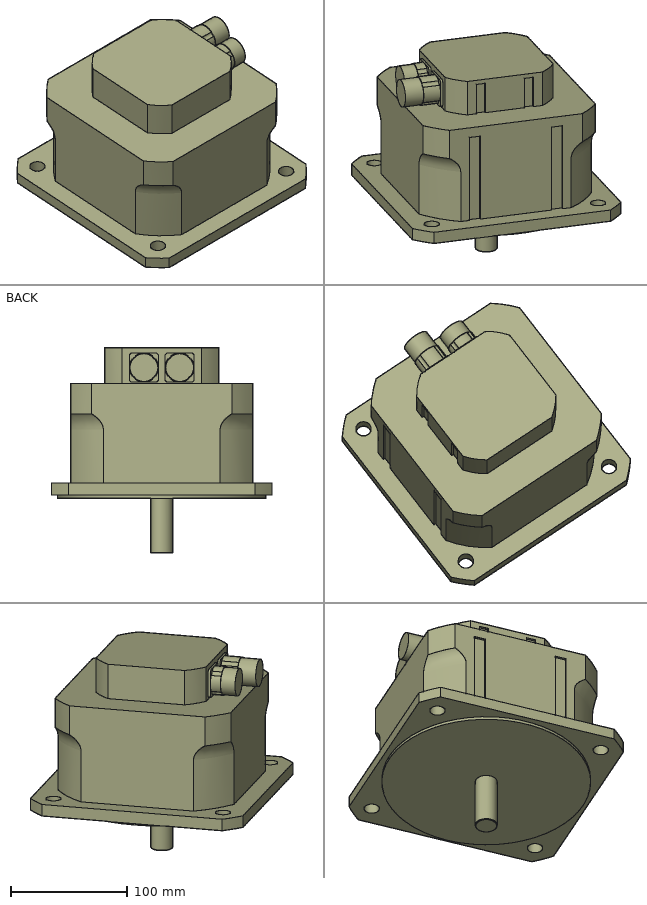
import cadquery as cq
import math

flange_width = 190.0
flange_corner_diameter = 249.0
flange_thickness = 10.5
mounting_hole_diameter = 13.1
mounting_hole_spacing = 151.6

pilot_diameter = 180.0
pilot_height = 2.8

shaft_diameter = 19.0
shaft_length = 47.1
shaft_chamfer = 0.5

case_width = 157.1
case_corner_diameter = 198.4
case_height = 85.7
waist_corner_diameter = 186.5
waist_height = 45.8
waist_blend_radius = 19.0

cap_width = 98.5
cap_corner_diameter = 119.9
cap_height = 31.0

recess_depth = 1.9
case_recess_width = 10.0
case_recess_height = 76.8
case_recess_spacing = 75.0
cap_recess_width = 8.4
cap_recess_height = 27.2
cap_recess_spacing = 43.7

connector_spacing = 30.8
connector_height = 13.7
connector_flange_width = 25.0
connector_flange_thickness = 2.0
connector_corner_radius = 2.5
collar_diameter = 25.0
barrel_diameter = 24.0
screw_groove_diameter = 5.7
long_collar_length = 15.2
long_barrel_length = 16.5
short_collar_length = 9.0
short_barrel_length = 13.0

flange_bottom = -flange_thickness
pilot_bottom = flange_bottom - pilot_height
shaft_end = pilot_bottom - shaft_length
cap_bottom = case_height


def round_cornered_block(width, corner_diameter, bottom, height):
    """Square prism whose corners are cut off by a cylinder about the Z axis."""
    square = cq.Workplane("XY", origin=(0, 0, bottom)).rect(width, width).extrude(height)
    cylinder = cq.Workplane("XY", origin=(0, 0, bottom)).circle(corner_diameter / 2).extrude(height)
    return square.intersect(cylinder)


def mounting_flange():
    plate = round_cornered_block(flange_width, flange_corner_diameter, flange_bottom, flange_thickness)
    return (
        plate.faces(">Z").workplane()
        .rect(mounting_hole_spacing, mounting_hole_spacing, forConstruction=True)
        .vertices()
        .hole(mounting_hole_diameter)
    )


def pilot_disc():
    return cq.Workplane("XY", origin=(0, 0, pilot_bottom)).circle(pilot_diameter / 2).extrude(pilot_height)


def output_shaft():
    shaft = cq.Workplane("XY", origin=(0, 0, shaft_end)).circle(shaft_diameter / 2).extrude(shaft_length)
    return shaft.faces("<Z").chamfer(shaft_chamfer)


def motor_case():
    """Square case limited by a turned profile that narrows to the waist through a concave blend."""
    upper_radius = case_corner_diameter / 2
    waist_radius = waist_corner_diameter / 2
    blend_centre_radius = waist_radius + waist_blend_radius
    blend_angle = math.acos((blend_centre_radius - upper_radius) / waist_blend_radius)
    blend_top = waist_height + waist_blend_radius * math.sin(blend_angle)
    blend_middle = (
        blend_centre_radius - waist_blend_radius * math.cos(blend_angle / 2),
        waist_height + waist_blend_radius * math.sin(blend_angle / 2),
    )
    turned = (
        cq.Workplane("XZ")
        .lineTo(waist_radius, 0)
        .lineTo(waist_radius, waist_height)
        .threePointArc(blend_middle, (upper_radius, blend_top))
        .lineTo(upper_radius, case_height)
        .lineTo(0, case_height)
        .close()
        .revolve()
    )
    square = cq.Workplane("XY").rect(case_width, case_width).extrude(case_height)
    return square.intersect(turned)


def recess_pair(body_width, bottom, width, height, spacing):
    """Two shallow cutters just inside the -X face of a body."""
    face_x = -body_width / 2
    return (
        cq.Workplane("XY", origin=(face_x + recess_depth / 2, 0, bottom))
        .pushPoints([(0, -spacing / 2), (0, spacing / 2)])
        .rect(recess_depth, width)
        .extrude(height)
    )


def build_motor():
    case = motor_case().cut(
        recess_pair(case_width, 0, case_recess_width, case_recess_height, case_recess_spacing)
    )
    cap = round_cornered_block(cap_width, cap_corner_diameter, cap_bottom, cap_height).cut(
        recess_pair(cap_width, cap_bottom, cap_recess_width, cap_recess_height, cap_recess_spacing)
    )
    return mounting_flange().union(pilot_disc()).union(output_shaft()).union(case).union(cap)


def build_connector(x, collar_length, barrel_length):
    """Square flange, grooved collar and plain barrel, pointing along +Y from the cap."""
    flange = (
        cq.Workplane("XY")
        .rect(connector_flange_width, connector_flange_width)
        .extrude(connector_flange_thickness)
        .edges("|Z")
        .fillet(connector_corner_radius)
    )
    groove_spacing = connector_flange_width - 2 * connector_corner_radius
    collar_base = cq.Workplane("XY", origin=(0, 0, connector_flange_thickness))
    grooves = (
        collar_base.rect(groove_spacing, groove_spacing, forConstruction=True)
        .vertices()
        .circle(screw_groove_diameter / 2)
        .extrude(collar_length)
    )
    collar = collar_base.circle(collar_diameter / 2).extrude(collar_length).cut(grooves)
    barrel_start = connector_flange_thickness + collar_length
    barrel = (
        cq.Workplane("XY", origin=(0, 0, barrel_start)).circle(barrel_diameter / 2).extrude(barrel_length)
    )
    connector = flange.union(collar).union(barrel)
    return connector.rotate((0, 0, 0), (1, 0, 0), -90).translate(
        (x, cap_width / 2, cap_bottom + connector_height)
    )


motor = build_motor()

connector_sizes = [
    (-connector_spacing / 2, long_collar_length, long_barrel_length),
    (connector_spacing / 2, short_collar_length, short_barrel_length),
]
connectors = [build_connector(*size).val() for size in connector_sizes]

result = cq.Compound.makeCompound([motor.val(), *connectors])